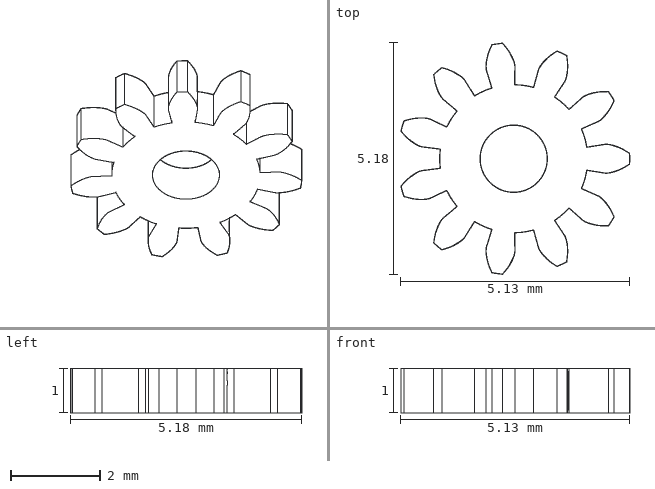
import cadquery as cq
import math

MODULE = 0.4
TOOTH_COUNT = 11
PRESSURE_ANGLE = math.radians(20)
ROOT_DIAMETER = 3.32
BORE_DIAMETER = 1.5
THICKNESS = 1.0
INVOLUTE_POINTS = 6

PITCH_RADIUS = MODULE * TOOTH_COUNT / 2
TIP_RADIUS = PITCH_RADIUS + MODULE
BASE_RADIUS = PITCH_RADIUS * math.cos(PRESSURE_ANGLE)
ROOT_RADIUS = ROOT_DIAMETER / 2
TOOTH_PITCH = 2 * math.pi / TOOTH_COUNT


def involute(angle):
    """Polar angle swept by an involute at the given pressure angle."""
    return math.tan(angle) - angle


BASE_HALF_ANGLE = TOOTH_PITCH / 4 + involute(PRESSURE_ANGLE)


def polar(radius, angle):
    return (radius * math.cos(angle), radius * math.sin(angle))


def flank(center_angle, side):
    """Points up an involute flank, from base circle to tip; side is -1 or +1."""
    tip_roll = math.sqrt((TIP_RADIUS / BASE_RADIUS) ** 2 - 1)
    points = []
    for i in range(INVOLUTE_POINTS):
        local_angle = math.atan(tip_roll * i / (INVOLUTE_POINTS - 1))
        radius = BASE_RADIUS / math.cos(local_angle)
        half_angle = BASE_HALF_ANGLE - involute(local_angle)
        points.append(polar(radius, center_angle + side * half_angle))
    return points


def gear_outline():
    """Closed outline: radial lower flanks, involute upper flanks, arcs at tip and root."""
    outline = cq.Workplane("XY").moveTo(*polar(ROOT_RADIUS, -BASE_HALF_ANGLE))
    for tooth in range(TOOTH_COUNT):
        center = tooth * TOOTH_PITCH
        rising = flank(center, -1)
        falling = flank(center, 1)[::-1]
        gap_middle = center + TOOTH_PITCH / 2
        next_start = center + TOOTH_PITCH - BASE_HALF_ANGLE

        outline = outline.lineTo(*rising[0])
        outline = outline.spline(rising[1:], includeCurrent=True)
        outline = outline.threePointArc(polar(TIP_RADIUS, center), falling[0])
        outline = outline.spline(falling[1:], includeCurrent=True)
        outline = outline.lineTo(*polar(ROOT_RADIUS, center + BASE_HALF_ANGLE))
        outline = outline.threePointArc(polar(ROOT_RADIUS, gap_middle), polar(ROOT_RADIUS, next_start))
    return outline.close()


gear = gear_outline().extrude(THICKNESS)
bore = cq.Workplane("XY").circle(BORE_DIAMETER / 2).extrude(THICKNESS)
result = gear.cut(bore)